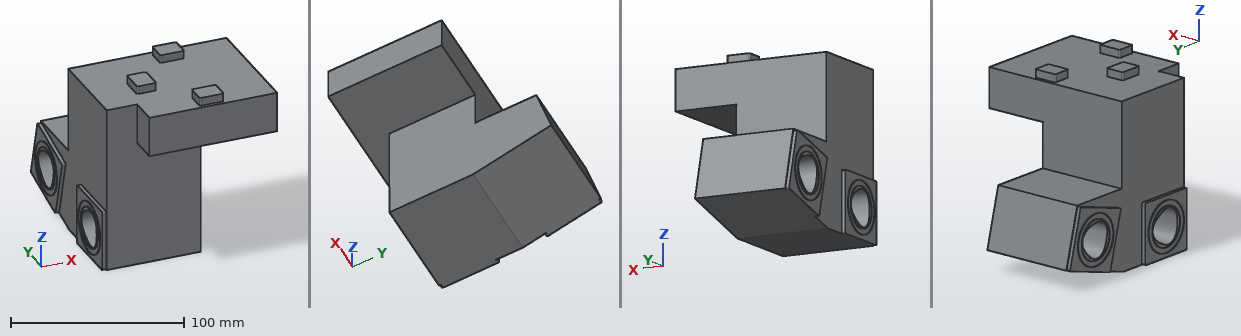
import cadquery as cq
import math

body_width = 59.2
body_height = 104.0
body_front = 18.3
body_back = 75.0

flange_length = 99.2
flange_thickness = 25.0
notch_width = 19.1

arm_end = 125.2
arm_top = 50.9
arm_bend = 73.5
tilt = 15.0

pad_long = 15.0
pad_short = 12.0
pad_height = 5.0
pad_corner = 1.0
pad_offset = 29.2
pad_pattern_x = 59.2
pad_pattern_y = body_back / 2

plate_size = 37.8
plate_thickness = 2.4
plate_corner = 1.0
plate_inset = 0.5
ring_outer = 32.0
ring_inner = 25.2
ring_height = 0.4
bore_mean_radius = 11.0
bore_lobe = 0.9
bore_depth = 25.0
bore_taper = 1 / 40
bore_points = 36


def box(x0, x1, y0, y1, z0, z1):
    return cq.Workplane("XY").box(x1 - x0, y1 - y0, z1 - z0, centered=False).translate((x0, y0, z0))


def make_flange():
    flange = box(0, flange_length, 0, body_back, body_height - flange_thickness, body_height)
    notch = box(0, notch_width, 0, body_front, 0, body_height)
    return flange.cut(notch)


def make_column_and_arm():
    slope = math.tan(math.radians(tilt))
    tip_height = (arm_end - arm_bend) * slope
    arm_top_back = arm_end - (arm_top - tip_height) * slope
    outline = [
        (body_front, 0),
        (arm_bend, 0),
        (arm_end, tip_height),
        (arm_top_back, arm_top),
        (body_back, arm_top),
        (body_back, body_height),
        (body_front, body_height),
    ]
    return cq.Workplane("YZ").polyline(outline).close().extrude(body_width)


def make_pad(x, y, size_x, size_y):
    pad = cq.Workplane("XY").box(size_x, size_y, pad_height, centered=(True, True, False))
    return pad.edges("|Z").fillet(pad_corner).translate((x, y, body_height))


def bore_point(index, mean_radius):
    angle = 2 * math.pi * index / bore_points
    radius = mean_radius - bore_lobe * math.cos(3 * angle)
    return radius * math.cos(angle), radius * math.sin(angle)


def socket_plane(y, z, angle):
    """Plane on the body face with its normal along -X, turned by angle."""
    turn = math.radians(angle)
    return cq.Plane(origin=(0, y, z), xDir=(0, -math.cos(turn), -math.sin(turn)), normal=(-1, 0, 0))


def add_socket(part, plane):
    plate = cq.Workplane(plane).rect(plate_size, plate_size).extrude(plate_thickness)
    plate = plate.edges("|X").fillet(plate_corner)
    ring = cq.Workplane(plane).workplane(offset=plate_thickness)
    ring = ring.circle(ring_outer / 2).circle(ring_inner / 2).extrude(ring_height)
    mouth_outline = [bore_point(index, bore_mean_radius) for index in range(bore_points)]
    floor_radius = bore_mean_radius - bore_taper * bore_depth
    floor_outline = [bore_point(index, floor_radius) for index in range(bore_points)]
    bore = cq.Workplane(plane).workplane(offset=plate_thickness).spline(mouth_outline, periodic=True).close()
    bore = bore.workplane(offset=-bore_depth).spline(floor_outline, periodic=True).close().loft()
    return part.union(plate).union(ring).cut(bore)


def tilted_socket_center():
    """Socket centre measured from the arm tip, along the sloped underside and square to it."""
    turn = math.radians(tilt)
    along = plate_inset + plate_size / 2
    up = plate_size / 2
    tip_height = (arm_end - arm_bend) * math.tan(turn)
    y = arm_end - along * math.cos(turn) - up * math.sin(turn)
    z = tip_height - along * math.sin(turn) + up * math.cos(turn)
    return y, z


result = make_column_and_arm().union(make_flange())

for side in (-1, 1):
    result = result.union(make_pad(pad_pattern_x, pad_pattern_y + side * pad_offset, pad_long, pad_short))
result = result.union(make_pad(pad_pattern_x - pad_offset, pad_pattern_y, pad_short, pad_long))

upright_y = body_front + plate_inset + plate_size / 2
result = add_socket(result, socket_plane(upright_y, plate_size / 2, 0))
tilted_y, tilted_z = tilted_socket_center()
result = add_socket(result, socket_plane(tilted_y, tilted_z, tilt))